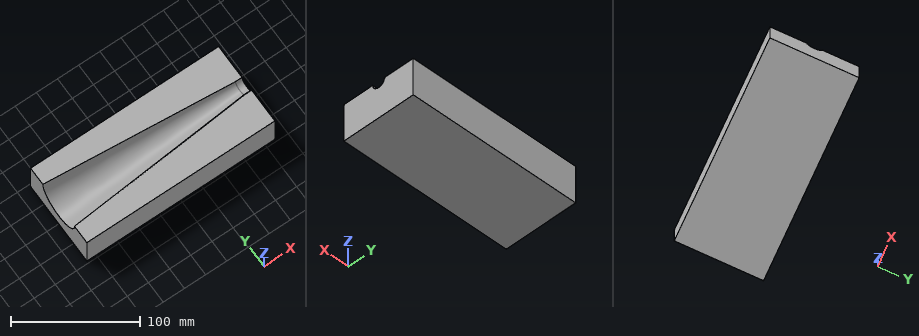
import cadquery as cq

LENGTH = 177.8
WIDTH = 76.2
HEIGHT = 38.1

MOUTH_RADIUS = 21.4
THROAT_RADIUS = 6.35
THROAT_LENGTH = 6.35

x_min = -LENGTH / 2
x_max = LENGTH / 2
throat_start = x_max - THROAT_LENGTH


def make_block():
    """Rectangular block centred on X and Y, standing on Z = 0."""
    return cq.Workplane("XY").box(LENGTH, WIDTH, HEIGHT, centered=(True, True, False))


def make_trough_cutter():
    """Cone running into a cylinder, revolved about the centre line of the top face."""
    profile = (
        cq.Workplane("XZ", origin=(0, 0, HEIGHT))
        .moveTo(x_min, 0)
        .lineTo(x_min, -MOUTH_RADIUS)
        .lineTo(throat_start, -THROAT_RADIUS)
        .lineTo(x_max, -THROAT_RADIUS)
        .lineTo(x_max, 0)
        .close()
    )
    return profile.revolve(360, (0, 0, 0), (1, 0, 0))


result = make_block().cut(make_trough_cutter())